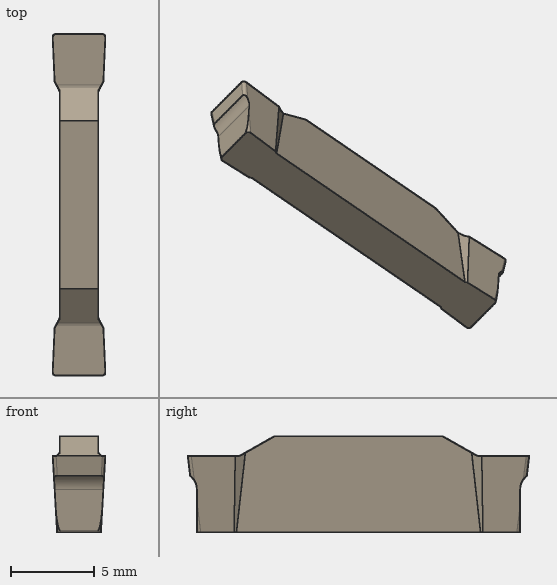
import cadquery as cq
import math

length = 20.53
head_width = 3.195
head_height = 4.6
body_half_width = 1.16
body_height = 5.78
flank_length = 2.86
corner_radius = 0.2

front_draft = math.tan(math.radians(7))
side_draft = math.tan(math.radians(3))
back_taper = math.tan(math.radians(2.5))
neck_angle = math.radians(28)
neck_slope = math.tan(neck_angle)
ramp_slope = math.tan(math.radians(29.5))

body_top_length = 10.1
ramp_fillet = 0.25

relief_strip_height = 0.12
relief_arc_bottom = 2.58
relief_arc_top = 3.4


def end_y(z):
    """Distance from the middle to the drafted end face at height z."""
    return length / 2 - (head_height - z) * front_draft


def plan_wire(z):
    """Outline of the flanks, necks and end faces at height z."""
    drop = head_height - z
    end = end_y(z)
    flank_at_edge = head_width / 2 - drop * side_draft
    neck_drop = drop * side_draft / math.cos(neck_angle)
    neck_at_edge = head_width / 2 + flank_length * (neck_slope - back_taper) - neck_drop
    flank_end = (neck_at_edge - flank_at_edge) / (neck_slope - back_taper)
    neck_end = (neck_at_edge - body_half_width) / neck_slope
    end_half_width = flank_at_edge - (length / 2 - end) * back_taper
    flank_end_half_width = flank_at_edge - flank_end * back_taper

    quarter = [
        (body_half_width, length / 2 - neck_end),
        (flank_end_half_width, length / 2 - flank_end),
        (end_half_width, end),
    ]
    half = quarter + [(-x, y) for x, y in reversed(quarter)]
    points = half + [(-x, -y) for x, y in half]
    return cq.Wire.makePolygon([cq.Vector(x, y, z) for x, y in points], close=True)


def drafted_blank():
    """Full-height blank with drafted walls and rounded head corners."""
    blank = cq.Workplane(cq.Solid.makeLoft([plan_wire(0), plan_wire(body_height)], True))
    mid_height = body_height / 2
    corner_y = end_y(mid_height) - corner_radius
    upright_edges = [
        edge for edge in blank.edges().vals()
        if abs(edge.Center().z - mid_height) < mid_height / 2 and abs(edge.Center().y) > corner_y
    ]
    return blank.newObject(upright_edges).fillet(corner_radius)


def top_profile():
    """Prism along X with the raised body top and the two ramps."""
    top_y = body_top_length / 2
    ramp_foot_y = top_y + (body_height - head_height) / ramp_slope
    outline = [
        (-length, 0), (length, 0), (length, head_height), (ramp_foot_y, head_height),
        (top_y, body_height), (-top_y, body_height),
        (-ramp_foot_y, head_height), (-length, head_height),
    ]
    prism = cq.Workplane("YZ").polyline(outline).close().extrude(head_width, both=True)
    foot_edges = [
        edge for edge in prism.edges("|X").vals()
        if abs(abs(edge.Center().y) - ramp_foot_y) < ramp_fillet
    ]
    return prism.newObject(foot_edges).fillet(ramp_fillet)


def end_relief():
    """Cutter for the upright face and hollow below the +Y cutting edge."""
    face_y = end_y(relief_strip_height)
    arc_top_y = end_y(relief_arc_top)
    arc_height = relief_arc_top - relief_arc_bottom
    arc_depth = arc_top_y - face_y
    radius = (arc_height**2 + arc_depth**2) / (2 * arc_depth)
    half_sweep = math.asin(arc_height / radius) / 2
    arc_middle = (
        face_y + radius * (1 - math.cos(half_sweep)),
        relief_arc_bottom + radius * math.sin(half_sweep),
    )
    return (
        cq.Workplane("YZ")
        .moveTo(face_y, 0)
        .lineTo(face_y, relief_arc_bottom)
        .threePointArc(arc_middle, (arc_top_y, relief_arc_top))
        .lineTo(length, relief_arc_top)
        .lineTo(length, 0)
        .close()
        .extrude(head_width, both=True)
    )


relief = end_relief()
result = drafted_blank().intersect(top_profile()).cut(relief).cut(relief.mirror("XZ"))